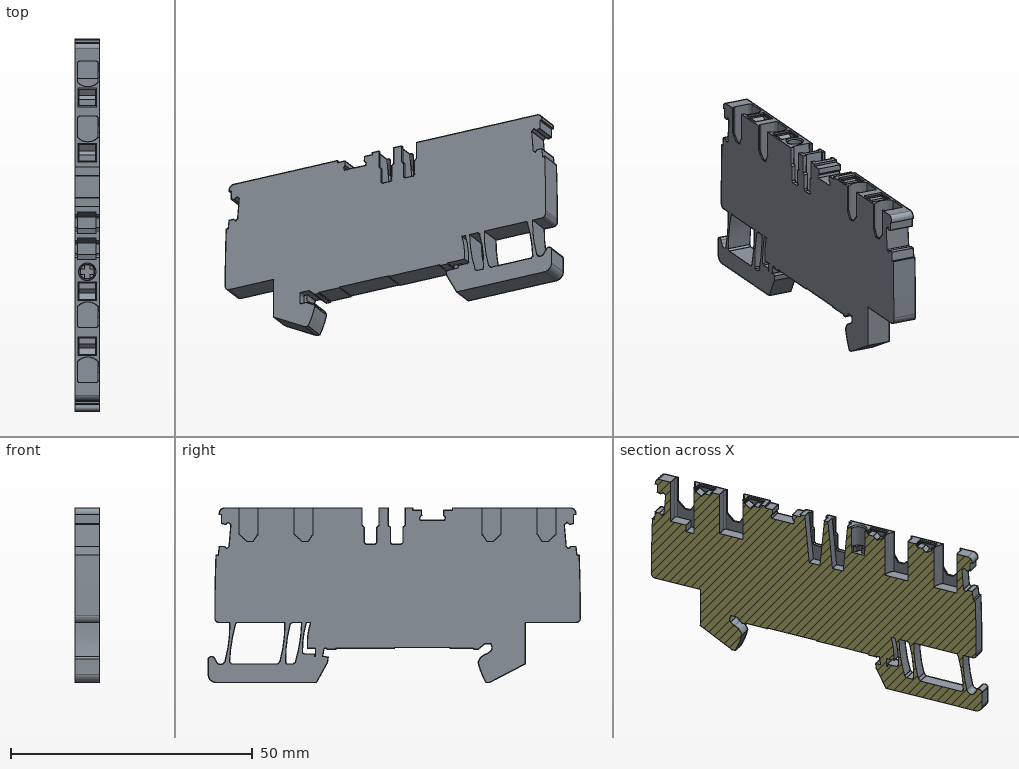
import cadquery as cq


THICKNESS = 5.1
HEIGHT = 36.1
SIDE = THICKNESS / 2
BODY_CENTRE = 0.7
BODY_HALF = 37.8
BODY_BOTTOM = 12.4
KEEL_BOTTOM = 7.1
OVERLAP = 0.8
CORNER_RADIUS = 0.9
BOW = 0.2
SETBACK = 1.7

RAIL_LEDGE_DEPTH = 0.5
RAIL_LEDGE_Y = (12.0, 3.85)

BRIDGE_COUNT = 2
BRIDGE_PITCH = 5.4
BRIDGE_FIRST_Y = 0.5
BRIDGE_MOUTH = 3.5
BRIDGE_THROAT = 2.55
BRIDGE_DEPTH = 7.5
BRIDGE_SHOULDER = (3.6, 4.0)
BRIDGE_FLOOR_CHAMFER = 0.3
SHAFT_X = (-2.0, 1.8)
SHAFT_MOUTH = 4.5
SHAFT_FLOOR = 2.4
SHAFT_DEPTH = 10.8

CLAMP_PITCH = 11.4
POCKET_X = (-2.0, 2.2)
POCKET_OUTER = 33.3
POCKET_SHOULDER = 28.9
POCKET_INNER = 28.0
POCKET_CORNER = 0.5
POCKET_DEPTH = 9.25
POCKET_STEP = 29.65
POCKET_STEP_DEPTH = 1.55
NOTCH_DEPTH = 6.9
NOTCH_STRAIGHT = 5.4
NOTCH_FLOOR = (29.9, 31.2)
CLAMP_WIDTH = 3.9
CLAMP_OUTER = 27.65
CLAMP_INNER = 23.8
CLAMP_RIM_DEPTH = 0.4
CLAMP_RIM = 0.2
CLAMP_SHELF = 25.3
CLAMP_VALLEY = 26.1
CLAMP_SHELF_DEPTH = 0.7
CLAMP_VALLEY_DEPTH = 1.5

SCREW_Y = -9.6
SCREW_HOLE = 3.1
SCREW_CHAMFER = 0.27
SCREW_HEAD_DEPTH = 4.6
CROSS_LENGTH = 2.8
CROSS_WIDTH = 1.1
CROSS_DEPTH = 1.15


def slab(outline, x_from=-SIDE, x_to=SIDE):
    """Extrude a closed (Y, Z) outline between two X positions."""
    return cq.Workplane("YZ", origin=(x_from, 0, 0)).polyline(outline).close().extrude(x_to - x_from)


def block(x_range, y_range, z_range):
    """Box between the given limits."""
    size = [abs(b - a) for a, b in (x_range, y_range, z_range)]
    middle = [(a + b) / 2 for a, b in (x_range, y_range, z_range)]
    return cq.Workplane("XY").box(*size).translate(tuple(middle))


def body_half(side):
    """Half housing on one side (+1 or -1): nose, label groove and stepped, slightly bowed shoulder."""
    def place(inset, z):
        return BODY_CENTRE + side * (BODY_HALF - inset), z

    groove_and_shoulder = [
        (1.4, 34.75), (1.4, 32.9), (2.2, 32.65), (2.8, 33.1), (3.3, 32.65), (2.9, 28.1), (2.5, 27.7),
        (2.0, 28.2), (0.9, 28.2), (0.7, 26.35), (BOW, 26.35),
    ]
    outline = (
        cq.Workplane("YZ", origin=(-SIDE, 0, 0))
        .moveTo(BODY_CENTRE, HEIGHT)
        .lineTo(*place(1.9, HEIGHT))
        .threePointArc(place(1.15, 35.7), place(0.9, 34.75))
    )
    for inset, z in groove_and_shoulder:
        outline = outline.lineTo(*place(inset, z))
    half = (
        outline
        .threePointArc(place(BOW / 4, 20.1), place(0, 13.9))
        .lineTo(*place(0, BODY_BOTTOM))
        .lineTo(BODY_CENTRE, BODY_BOTTOM)
        .close()
        .extrude(THICKNESS)
    )
    lower_corner = "|X and <Z and >Y" if side > 0 else "|X and <Z and <Y"
    return half.edges(lower_corner).fillet(CORNER_RADIUS)


def make_body():
    """Whole housing above the rail."""
    return body_half(1).union(body_half(-1))


def make_keel():
    """Lower part of the housing with the fixed hook that grips the rail."""
    keel = (
        cq.Workplane("YZ", origin=(-SIDE, 0, 0))
        .moveTo(27.1, BODY_BOTTOM + OVERLAP)
        .lineTo(27.1, 3.85)
        .lineTo(19.7, 0)
        .lineTo(18.95, 0)
        .threePointArc((17.9, 2.4), (17.3, 4.15))
        .threePointArc((18.0, 5.3), (19.1, 5.9))
        .lineTo(20.0, 6.55)
        .threePointArc((20.2, 7.1), (19.95, 8.0))
        .lineTo(18.7, 8.0)
        .lineTo(17.3, 6.85)
        .lineTo(16.5, 6.85)
        .lineTo(16.3, KEEL_BOTTOM)
        .lineTo(11.55, KEEL_BOTTOM)
        .lineTo(11.55, 7.25)
        .lineTo(0.1, 7.25)
        .lineTo(0.1, KEEL_BOTTOM)
        .lineTo(-12.1, KEEL_BOTTOM)
        .lineTo(-12.1, 6.85)
        .lineTo(-13.95, 6.85)
        .lineTo(-13.95, KEEL_BOTTOM)
        .lineTo(-17.95, KEEL_BOTTOM)
        .threePointArc((-17.95, 9.25), (-17.3, BODY_BOTTOM))
        .lineTo(-17.3, BODY_BOTTOM + OVERLAP)
        .close()
        .extrude(THICKNESS)
    )
    hook_relief = slab(
        [(20.9, 8.0), (20.9, 5.5), (19.25, 5.5), (17.3, 4.3), (17.3, 5.4), (18.7, 8.0)],
        -SIDE, -SIDE + SETBACK,
    ).edges("|X and >Y").fillet(0.3)
    return keel.cut(hook_relief)


def make_foot():
    """Sprung rail foot hanging from three slender curved legs."""
    foot = (
        cq.Workplane("YZ", origin=(-SIDE, 0, 0))
        .moveTo(-18.2, BODY_BOTTOM + OVERLAP)
        .lineTo(-18.2, BODY_BOTTOM)
        .threePointArc((-18.8, 9.4), (-18.95, 6.2))
        .lineTo(-18.65, 5.9)
        .lineTo(-16.5, 5.9)
        .lineTo(-16.5, 5.4)
        .lineTo(-14.3, 5.4)
        .lineTo(-13.6, 5.2)
        .lineTo(-13.8, 4.15)
        .lineTo(-16.1, 0)
        .lineTo(-37.0, 0)
        .threePointArc((-38.05, 0.55), (-38.5, 1.6))
        .lineTo(-38.5, 4.85)
        .threePointArc((-37.9, 5.4), (-37.2, 5.1))
        .lineTo(-36.8, 4.4)
        .threePointArc((-35.9, 3.8), (-35.0, 4.6))
        .threePointArc((-34.3, 8.1), (-34.05, BODY_BOTTOM))
        .lineTo(-34.05, BODY_BOTTOM + OVERLAP)
        .close()
        .extrude(THICKNESS)
    )
    narrow_window = (
        cq.Workplane("YZ", origin=(-SIDE, 0, 0))
        .moveTo(-19.2, BODY_BOTTOM)
        .threePointArc((-19.6, 8.2), (-20.5, 4.15))
        .lineTo(-20.95, 3.85)
        .lineTo(-22.3, 3.85)
        .lineTo(-22.4, 4.15)
        .threePointArc((-22.3, 8.2), (-21.5, 12.1))
        .lineTo(-21.1, BODY_BOTTOM)
        .close()
        .extrude(THICKNESS)
    )
    wide_window = (
        cq.Workplane("YZ", origin=(-SIDE, 0, 0))
        .moveTo(-22.65, BODY_BOTTOM)
        .threePointArc((-22.9, 8.3), (-23.65, 4.4))
        .lineTo(-24.1, 3.85)
        .lineTo(-33.7, 3.85)
        .lineTo(-34.05, 4.2)
        .threePointArc((-33.7, 8.2), (-32.8, 12.1))
        .lineTo(-32.6, BODY_BOTTOM)
        .close()
        .extrude(THICKNESS)
    )
    return foot.cut(narrow_window).cut(wide_window)


def make_foot_stem():
    """Link between housing and foot, set back from the -X face."""
    stem = [(-14.5, KEEL_BOTTOM), (-16.3, KEEL_BOTTOM), (-16.3, 5.4), (-14.8, 5.4)]
    return slab(stem, -SIDE + SETBACK, SIDE)


def rail_notch():
    """Undercut notch that takes a marker strip, with a low ledge on each side."""
    ledge_z = HEIGHT - RAIL_LEDGE_DEPTH
    first, last = RAIL_LEDGE_Y
    return slab([
        (first, HEIGHT), (first, ledge_z), (10.25, ledge_z), (10.2, 34.6), (10.55, 34.3), (10.4, 33.6),
        (5.4, 33.6), (5.2, 34.1), (5.7, 34.6), (5.6, ledge_z), (last, ledge_z), (last, HEIGHT),
    ])


def bridge_slot(y):
    """Stepped slot through the thickness with a deeper tapered shaft inside."""
    mouth, throat = BRIDGE_MOUTH / 2, BRIDGE_THROAT / 2
    upper, lower = BRIDGE_SHOULDER
    floor = BRIDGE_DEPTH
    corner = BRIDGE_FLOOR_CHAMFER
    half = [(mouth, 0), (mouth, upper), (throat, lower), (throat, floor - corner), (throat - corner, floor)]
    slot = slab(
        [(y + offset, HEIGHT - depth) for offset, depth in half]
        + [(y - offset, HEIGHT - depth) for offset, depth in half[::-1]]
    )
    shaft = slab([
        (y + SHAFT_MOUTH / 2, HEIGHT), (y + SHAFT_FLOOR / 2, HEIGHT - SHAFT_DEPTH),
        (y - SHAFT_FLOOR / 2, HEIGHT - SHAFT_DEPTH), (y - SHAFT_MOUTH / 2, HEIGHT),
    ], *SHAFT_X)
    return slot.union(shaft)


def pocket_shaft(shift):
    """Round-backed vertical shaft for a wire."""
    x_low, x_high = POCKET_X
    outer, shoulder, inner = (y - shift for y in (POCKET_OUTER, POCKET_SHOULDER, POCKET_INNER))
    return (
        cq.Workplane("XY", origin=(0, 0, HEIGHT - POCKET_DEPTH))
        .moveTo(x_high, outer)
        .lineTo(x_low, outer)
        .lineTo(x_low, shoulder)
        .threePointArc(((x_low + x_high) / 2, inner), (x_high, shoulder))
        .close()
        .extrude(POCKET_DEPTH)
        .edges("|Z and >Y").fillet(POCKET_CORNER)
    )


def wire_pocket(shift):
    """Wire shaft opened through the +X wall by a notch."""
    outer, shoulder = POCKET_OUTER - shift, POCKET_SHOULDER - shift
    floor_inner, floor_outer = (y - shift for y in NOTCH_FLOOR)
    side_end = HEIGHT - NOTCH_STRAIGHT
    floor_z = HEIGHT - NOTCH_DEPTH
    edge = outer - POCKET_CORNER
    notch = slab([
        (edge, HEIGHT), (edge, side_end), (floor_outer, floor_z),
        (floor_inner, floor_z), (shoulder, side_end), (shoulder, HEIGHT),
    ], 0, SIDE)
    return pocket_shaft(shift).union(notch)


def clamp_slot(shift):
    """Rimmed screwdriver slot with an inboard shelf and a V-shaped bottom."""
    half = CLAMP_WIDTH / 2
    outer, inner = CLAMP_OUTER - shift, CLAMP_INNER - shift
    rim = block((-half, half), (inner, outer), (HEIGHT - CLAMP_RIM_DEPTH, HEIGHT))
    shelf_z = HEIGHT - CLAMP_SHELF_DEPTH
    core = slab([
        (inner + CLAMP_RIM, HEIGHT), (inner + CLAMP_RIM, shelf_z), (CLAMP_SHELF - shift, shelf_z),
        (CLAMP_VALLEY - shift, HEIGHT - CLAMP_VALLEY_DEPTH),
        (outer - CLAMP_RIM, shelf_z), (outer - CLAMP_RIM, HEIGHT),
    ], -half + CLAMP_RIM, half - CLAMP_RIM)
    return rim.union(core)


def end_openings():
    """Two pockets and two clamp slots of the +Y end, around Y = 0."""
    openings = cq.Workplane("XY")
    for shift in (0, CLAMP_PITCH):
        openings = openings.add(wire_pocket(shift)).add(clamp_slot(shift))
    return openings.combine()


def pocket_floor_step():
    """Deeper inboard part of the pocket nearest the +Y end."""
    floor_z = HEIGHT - POCKET_DEPTH
    inboard = block(POCKET_X, (POCKET_INNER, POCKET_STEP), (floor_z - POCKET_STEP_DEPTH, floor_z))
    deep_shaft = pocket_shaft(0).translate((0, 0, -POCKET_STEP_DEPTH))
    return deep_shaft.intersect(inboard).translate((0, BODY_CENTRE, 0))


def screw_hole():
    """Chamfered access hole ending on a screw head with a cross recess."""
    head_z = HEIGHT - SCREW_HEAD_DEPTH
    hole = cq.Workplane("XY", origin=(0, SCREW_Y, head_z)).circle(SCREW_HOLE / 2).extrude(SCREW_HEAD_DEPTH)
    sink = (
        cq.Workplane("XY", origin=(0, SCREW_Y, HEIGHT))
        .circle(SCREW_HOLE / 2 + SCREW_CHAMFER)
        .extrude(-SCREW_CHAMFER, taper=45)
    )
    recess = (
        cq.Workplane("XY", origin=(0, SCREW_Y, head_z))
        .rect(CROSS_LENGTH, CROSS_WIDTH).extrude(-CROSS_DEPTH)
        .union(cq.Workplane("XY", origin=(0, SCREW_Y, head_z))
               .rect(CROSS_WIDTH, CROSS_LENGTH).extrude(-CROSS_DEPTH))
    )
    return hole.union(sink).union(recess)


result = make_body().union(make_keel()).union(make_foot()).union(make_foot_stem())
result = result.cut(rail_notch()).cut(screw_hole()).cut(pocket_floor_step())
for index in range(BRIDGE_COUNT):
    result = result.cut(bridge_slot(BRIDGE_FIRST_Y - index * BRIDGE_PITCH))

plus_y_openings = end_openings()
for openings in (plus_y_openings, plus_y_openings.mirror("XZ")):
    result = result.cut(openings.translate((0, BODY_CENTRE, 0)))